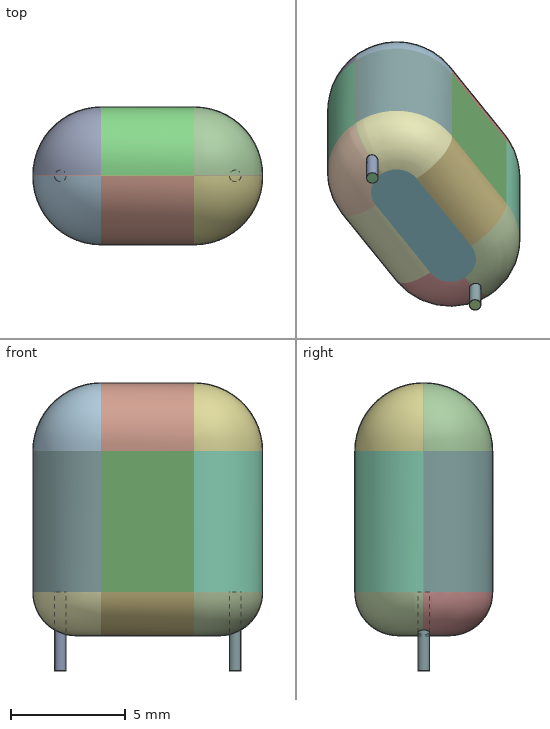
import cadquery as cq

TOTAL_HEIGHT = 12.53
BODY_LENGTH = 10.0
BODY_DEPTH = 6.0
BODY_HEIGHT = 11.0

FLAT_STRIP = 0.04
SIDE_RADIUS = (BODY_DEPTH - FLAT_STRIP) / 2
BOTTOM_RADIUS = 1.9

LEAD_DIAMETER = 0.5
LEAD_SPACING = 7.6
LEAD_EXPOSED = TOTAL_HEIGHT - BODY_HEIGHT
LEAD_EMBEDDED = BOTTOM_RADIUS


def make_lead(x):
    """Straight round lead, running from its free end up into the body."""
    return (
        cq.Workplane("XY", origin=(x, 0, -LEAD_EXPOSED))
        .circle(LEAD_DIAMETER / 2)
        .extrude(LEAD_EXPOSED + LEAD_EMBEDDED)
    )


def make_body(leads):
    """Rounded block standing on Z = 0, with a matching hole for each lead."""
    body = (
        cq.Workplane("XY")
        .box(BODY_LENGTH, BODY_DEPTH, BODY_HEIGHT, centered=(True, True, False))
        .edges("|Z")
        .fillet(SIDE_RADIUS)
        .faces(">Z")
        .edges()
        .fillet(SIDE_RADIUS)
        .faces("<Z")
        .edges()
        .fillet(BOTTOM_RADIUS)
    )
    for lead in leads:
        body = body.cut(lead)
    return body.solids()


leads = [make_lead(side * LEAD_SPACING / 2) for side in (-1, 1)]
body = make_body(leads)

result = cq.Compound.makeCompound([body.val(), *[lead.val() for lead in leads]])